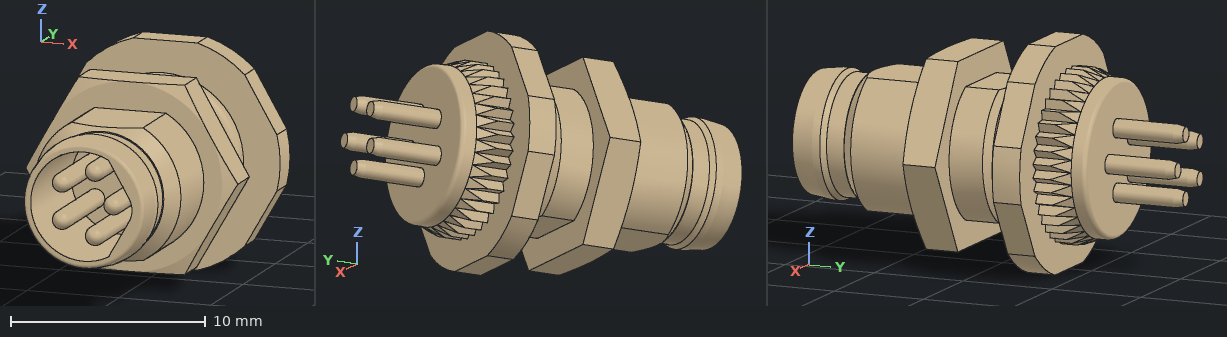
import cadquery as cq
import math


HEXAGON_HALF_ANGLE = math.pi / 6

rim_diameter = 6.9
rim_taper_end_y = 1.25
rim_taper_angle = 8.0
rim_land_end_y = 1.7
rim_end_y = 1.99
rim_lip_radius = 0.2
groove_diameter = 6.5

shank_diameter = 8.0
shank_flats_width = 7.0
shank_nose_diameter = 6.63
shank_start_y = 2.99
shank_nose_end_y = 3.68
shank_end_y = 11.1
shank_tail_end_y = 11.47

neck_diameter = 6.7
oring_cord_diameter = 1.0
oring_centre_diameter = 7.8

nut_across_flats = 10.01
nut_front_y = 7.21
nut_rear_y = 9.22
nut_chamfer_angle = 15.0

flange_across_flats = 12.0
flange_diameter = 12.5
flange_front_y = 12.65
flange_rear_y = 14.2

knurl_diameter = 9.2
knurl_tooth_count = 40
knurl_taper_start_y = 15.13
knurl_end_y = 16.18
collar_diameter = 8.4
collar_end_y = 17.01
collar_edge_radius = 0.25

socket_diameter = 5.77
socket_depth = 6.0
socket_key_flat_distance = 2.45
socket_key_flat_angle = 30.0
socket_key_tip_fillet = 1.23
socket_shoulder_fillet = 0.2
socket_floor_inset = 0.1

pin_diameter = 1.0
pin_dome_centre_y = 0.84
pin_rear_y = 20.9
pin_rear_chamfer_length = 0.48
pin_rear_chamfer_width = 0.1
key_pin_x = 1.34
side_pin_x = 0.33
side_pin_z = 1.7
back_pin_x = -1.46
back_pin_z = 0.98
pin_positions = [
    (key_pin_x, 0),
    (side_pin_x, side_pin_z),
    (back_pin_x, back_pin_z),
    (back_pin_x, -back_pin_z),
    (side_pin_x, -side_pin_z),
]


def cross_section(y):
    """Workplane across the connector axis; negative extrusions run toward +Y."""
    return cq.Workplane("XZ", origin=(0, y, 0))


def revolved(points):
    """Solid of revolution about the Y axis from (radius, y) points."""
    return cq.Workplane("XY").polyline(points).close().revolve(360, (0, 0, 0), (0, 1, 0))


def hexagon(across_flats, front_y, rear_y):
    """Hexagonal prism with flats facing +Z and -Z."""
    across_corners = across_flats / math.cos(HEXAGON_HALF_ANGLE)
    return cross_section(front_y).polygon(6, across_corners).extrude(front_y - rear_y)


def disc(diameter, front_y, rear_y):
    return cross_section(front_y).circle(diameter / 2).extrude(front_y - rear_y)


def make_front_barrel():
    """Rim, groove, flatted shank and O-ring neck, up to the flange."""
    rim_radius = rim_diameter / 2
    rim_face_radius = rim_radius - rim_taper_end_y * math.tan(math.radians(rim_taper_angle))
    groove_radius = groove_diameter / 2
    shank_radius = shank_diameter / 2
    neck_radius = neck_diameter / 2
    barrel = revolved([
        (0, 0),
        (rim_face_radius, 0),
        (rim_radius, rim_taper_end_y),
        (rim_radius, rim_land_end_y),
        (groove_radius, rim_end_y),
        (groove_radius, shank_start_y),
        (shank_nose_diameter / 2, shank_start_y),
        (shank_radius, shank_nose_end_y),
        (shank_radius, shank_end_y),
        (neck_radius, shank_tail_end_y),
        (neck_radius, flange_front_y),
        (0, flange_front_y),
    ])
    barrel = barrel.faces("<Y").edges().fillet(rim_lip_radius)
    slab = cross_section(0).rect(shank_diameter, shank_flats_width).extrude(-flange_front_y)
    return barrel.intersect(slab)


def make_nut_section():
    """Hexagon whose front corners are turned to a shallow cone."""
    flat_radius = nut_across_flats / 2
    corner_radius = flat_radius / math.cos(HEXAGON_HALF_ANGLE)
    chamfer_length = (corner_radius - flat_radius) * math.tan(math.radians(nut_chamfer_angle))
    chamfer_envelope = revolved([
        (0, nut_front_y),
        (flat_radius, nut_front_y),
        (corner_radius, nut_front_y + chamfer_length),
        (corner_radius, nut_rear_y),
        (0, nut_rear_y),
    ])
    return hexagon(nut_across_flats, nut_front_y, nut_rear_y).intersect(chamfer_envelope)


def make_flange():
    corner_turning = disc(flange_diameter, flange_front_y, flange_rear_y)
    return hexagon(flange_across_flats, flange_front_y, flange_rear_y).intersect(corner_turning)


def make_knurl():
    """V-toothed ring whose rear end tapers down to the collar."""
    crest_radius = knurl_diameter / 2
    root_radius = collar_diameter / 2
    half_pitch = math.pi / knurl_tooth_count
    outline = []
    for i in range(2 * knurl_tooth_count):
        radius = root_radius if i % 2 == 0 else crest_radius
        outline.append((radius * math.cos(i * half_pitch), radius * math.sin(i * half_pitch)))
    teeth = cross_section(flange_rear_y).polyline(outline).close().extrude(flange_rear_y - knurl_end_y)
    taper_envelope = revolved([
        (0, flange_rear_y),
        (crest_radius, flange_rear_y),
        (crest_radius, knurl_taper_start_y),
        (root_radius, knurl_end_y),
        (0, knurl_end_y),
    ])
    return teeth.intersect(taper_envelope)


def make_collar():
    collar = disc(collar_diameter, flange_rear_y, collar_end_y)
    return collar.faces(">Y").edges().fillet(collar_edge_radius)


def socket_corners(inset):
    """Key tip and upper key shoulder, as (x, z), of the outline shrunk by inset."""
    radius = socket_diameter / 2 - inset
    flat_distance = socket_key_flat_distance - inset
    flat_angle = math.radians(socket_key_flat_angle)
    shoulder_angle = flat_angle + math.acos(flat_distance / radius)
    tip = (flat_distance / math.cos(flat_angle), 0)
    shoulder = (radius * math.cos(shoulder_angle), radius * math.sin(shoulder_angle))
    return tip, shoulder


def socket_outline(y, inset):
    """Round outline with a sharp wedge-shaped key on its +X side."""
    tip, (shoulder_x, shoulder_z) = socket_corners(inset)
    return (
        cross_section(y)
        .moveTo(shoulder_x, -shoulder_z)
        .lineTo(*tip)
        .lineTo(shoulder_x, shoulder_z)
        .threePointArc((inset - socket_diameter / 2, 0), (shoulder_x, -shoulder_z))
        .close()
    )


def make_socket():
    """Keyed cavity lofted from the mating face to its smaller floor, with rounded key edges."""
    mouth = socket_outline(0, 0).val()
    floor = socket_outline(socket_depth, socket_floor_inset).val()
    socket = cq.Workplane(cq.Solid.makeLoft([mouth, floor], True))
    middle_y = socket_depth / 2
    (tip_x, tip_z), (shoulder_x, shoulder_z) = socket_corners(socket_floor_inset / 2)
    tip_edge = cq.selectors.NearestToPointSelector((tip_x, middle_y, tip_z))
    socket = socket.edges(tip_edge).fillet(socket_key_tip_fillet)
    for z in (shoulder_z, -shoulder_z):
        shoulder_edge = cq.selectors.NearestToPointSelector((shoulder_x, middle_y, z))
        socket = socket.edges(shoulder_edge).fillet(socket_shoulder_fillet)
    return socket


def make_pin(x, z):
    """Straight contact with a domed mating tip and a chamfered rear tip."""
    radius = pin_diameter / 2
    dome_middle = radius * math.sqrt(0.5)
    profile = (
        cq.Workplane("XY")
        .moveTo(0, pin_dome_centre_y - radius)
        .threePointArc((dome_middle, pin_dome_centre_y - dome_middle), (radius, pin_dome_centre_y))
        .lineTo(radius, pin_rear_y - pin_rear_chamfer_length)
        .lineTo(radius - pin_rear_chamfer_width, pin_rear_y)
        .lineTo(0, pin_rear_y)
        .close()
    )
    return profile.revolve(360, (0, 0, 0), (0, 1, 0)).translate((x, 0, z))


def make_housing():
    """Connector body in one piece with its nut section, flange, knurl and pins."""
    housing = make_front_barrel()
    for section in (make_nut_section(), make_flange(), make_knurl(), make_collar()):
        housing = housing.union(section)
    housing = housing.cut(make_socket())
    for x, z in pin_positions:
        housing = housing.union(make_pin(x, z))
    return housing


def make_oring():
    """Ring around the neck, resting against the front of the flange."""
    cord_centre_y = flange_front_y - oring_cord_diameter / 2
    ring = cq.Solid.makeTorus(
        oring_centre_diameter / 2,
        oring_cord_diameter / 2,
        cq.Vector(0, cord_centre_y, 0),
        cq.Vector(0, 1, 0),
    )
    return cq.Workplane(ring)


housing = make_housing()
oring = make_oring()

result = cq.Compound.makeCompound([housing.val(), oring.val()])